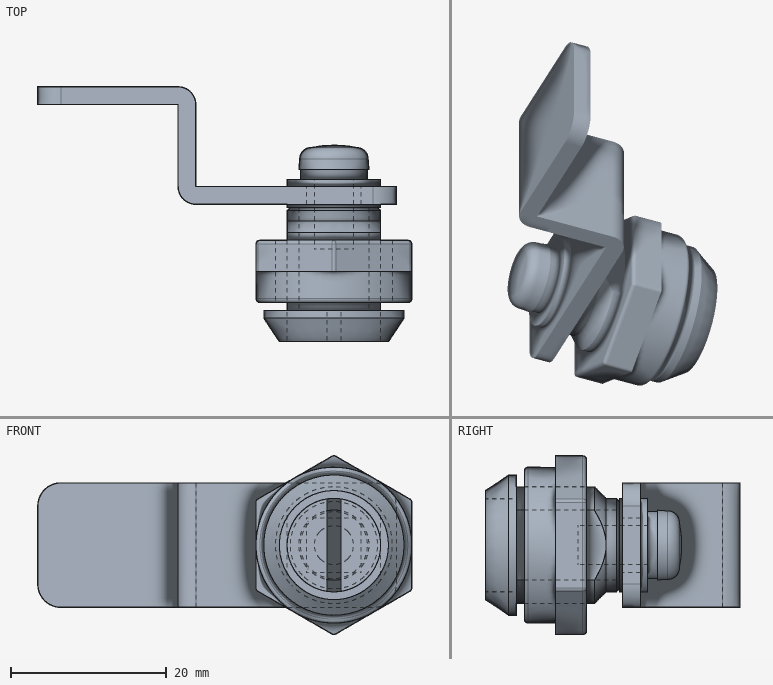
import cadquery as cq
import math


face_radius = 7.0
flange_radius = 9.0
flange_rim = 1.0
flange_depth = 4.0
thread_radius = 7.5
flat_distance = 12.0
thread_end = 14.0
tail_radius = 6.0
tail_cone_end = thread_end + thread_radius - tail_radius
tail_chamfer = 0.4
housing_end = 17.2

core_head_radius = 6.0
core_head_depth = 4.0
core_shaft_radius = 4.5
shoulder_radius = 6.0
shoulder_thickness = 0.4
drive_size = 7.0
slot_width = 1.8

nut_start = 5.0
collar_radius = 10.0
collar_length = 4.0
hex_across_flats = 20.0
hex_length = 4.0
nut_fillet = 0.5

cam_thickness = 2.3
cam_width = 16.0
cam_front = housing_end + shoulder_thickness
cam_back = cam_front + cam_thickness
cam_offset = 12.8
cam_tip_x = -38.0
cam_end_x = 8.0
crank_x = -20.0
cam_corner_radius = 3.0

washer_radius = 6.0
washer_thickness = 0.9
screw_radius = 2.5
screw_depth = 8.0
neck_radius = 4.3
neck_length = 1.3
head_radius = 4.5
head_top_radius = 4.4
head_side_height = 1.3
head_edge_radius = 1.5
head_height = 3.1
dome_rise = 0.3

washer_back = cam_back + washer_thickness
head_start = washer_back + neck_length
head_end = head_start + head_height


def cylinder(radius, start, end):
    """Cylinder about the lock axis between two Y positions."""
    return cq.Workplane("XZ", origin=(0, start, 0)).circle(radius).extrude(start - end)


def block(size_x, size_z, start, end):
    """Rectangular block centred on the lock axis between two Y positions."""
    return cq.Workplane("XZ", origin=(0, start, 0)).rect(size_x, size_z).extrude(start - end)


def revolve_about_axis(profile):
    """Revolve an XY profile about the lock axis."""
    return profile.close().revolve(360, (0, 0, 0), (0, 1, 0))


def make_housing():
    profile = cq.Workplane("XY").polyline([
        (0, 0),
        (face_radius, 0),
        (flange_radius, flange_depth - flange_rim),
        (flange_radius, flange_depth),
        (thread_radius, flange_depth),
        (thread_radius, thread_end),
        (tail_radius, tail_cone_end),
        (tail_radius, housing_end - tail_chamfer),
        (tail_radius - tail_chamfer, housing_end),
        (0, housing_end),
    ])
    body = revolve_about_axis(profile)
    flange_zone = cylinder(flange_radius, 0, flange_depth)
    flatted_zone = block(flat_distance, 2 * flange_radius, flange_depth, housing_end)
    body = body.intersect(flange_zone.union(flatted_zone))
    return body.cut(cylinder(core_head_radius, 0, core_head_depth)).cut(
        cylinder(core_shaft_radius, core_head_depth, housing_end)
    )


def make_core():
    core = (
        cylinder(core_head_radius, 0, core_head_depth)
        .union(cylinder(core_shaft_radius, core_head_depth, housing_end))
        .union(cylinder(shoulder_radius, housing_end, cam_front))
        .union(block(drive_size, drive_size, cam_front, cam_back))
    )
    slot = block(slot_width, 2 * core_head_radius, 0, core_head_depth)
    screw_hole = cylinder(screw_radius, cam_back - screw_depth, cam_back)
    return core.cut(slot).cut(screw_hole)


def make_nut():
    hex_start = nut_start + collar_length
    nut_end = hex_start + hex_length
    collar = cylinder(collar_radius, nut_start, hex_start).faces("<Y").edges().fillet(nut_fillet)
    hex_diameter = hex_across_flats / math.cos(math.pi / 6)
    hexagon = (
        cq.Workplane("XZ", origin=(0, hex_start, 0))
        .transformed(rotate=(0, 0, 30))
        .polygon(6, hex_diameter)
        .extrude(-hex_length)
        .edges("|Y")
        .fillet(nut_fillet)
        .faces(">Y")
        .edges()
        .fillet(nut_fillet)
    )
    return collar.union(hexagon).cut(cylinder(thread_radius, nut_start, nut_end))


def make_cam():
    tip_front = cam_front + cam_offset
    tip_back = tip_front + cam_thickness
    crank_inner_x = crank_x + cam_thickness
    outline = [
        (cam_end_x, cam_front),
        (crank_x, cam_front),
        (crank_x, tip_front),
        (cam_tip_x, tip_front),
        (cam_tip_x, tip_back),
        (crank_inner_x, tip_back),
        (crank_inner_x, cam_back),
        (cam_end_x, cam_back),
    ]
    strip = cq.Workplane("XY").polyline(outline).close().extrude(cam_width / 2, both=True)
    for bend_x, bend_y in [(crank_x, cam_front), (crank_inner_x, tip_back)]:
        bend = cq.selectors.NearestToPointSelector((bend_x, bend_y, 0))
        strip = strip.edges("|Z").edges(bend).fillet(cam_thickness)
    for end_face in ["<X", ">X"]:
        strip = strip.faces(end_face).edges("|Y").fillet(cam_corner_radius)
    return strip.cut(block(drive_size, drive_size, cam_front, cam_back))


def make_washer():
    return cylinder(washer_radius, cam_back, washer_back).cut(
        cylinder(screw_radius, cam_back, washer_back)
    )


def make_screw():
    side_top = head_start + head_side_height
    edge_top = head_end - dome_rise
    edge_inner = head_top_radius - head_edge_radius
    diagonal = math.sqrt(0.5)
    edge_mid = (
        edge_inner + head_edge_radius * diagonal,
        side_top + (edge_top - side_top) * diagonal,
    )
    dome_radius = (edge_inner**2 + dome_rise**2) / (2 * dome_rise)
    dome_mid_x = edge_inner / 2
    dome_mid = (dome_mid_x, head_end - dome_radius + math.sqrt(dome_radius**2 - dome_mid_x**2))
    profile = (
        cq.Workplane("XY")
        .moveTo(0, head_start)
        .lineTo(head_radius, head_start)
        .lineTo(head_top_radius, side_top)
        .threePointArc(edge_mid, (edge_inner, edge_top))
        .threePointArc(dome_mid, (0, head_end))
    )
    return (
        revolve_about_axis(profile)
        .union(cylinder(neck_radius, washer_back, head_start))
        .union(cylinder(screw_radius, cam_back - screw_depth, washer_back))
    )


housing = make_housing()
core = make_core()
nut = make_nut()
cam = make_cam()
washer = make_washer()
screw = make_screw()

result = cq.Compound.makeCompound([
    housing.val(),
    core.val(),
    nut.val(),
    cam.val(),
    washer.val(),
    screw.val(),
])